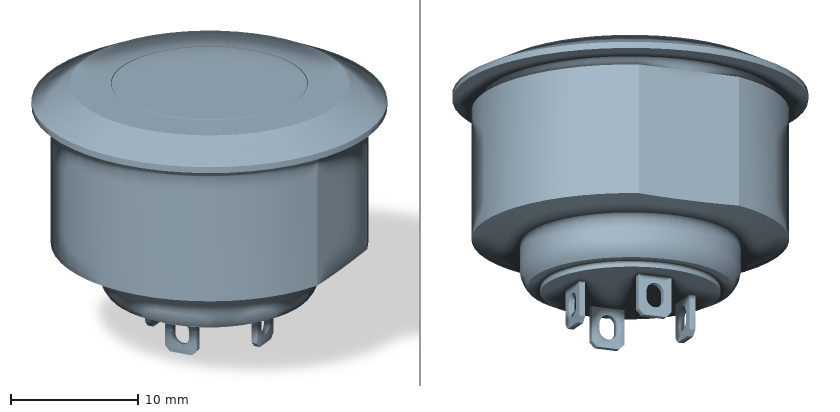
import cadquery as cq
import math

bezel_diameter = 28.0
bezel_top_diameter = 22.0
bezel_rim_top_z = -1.48
bezel_bottom_z = -2.0

button_diameter = 15.5
button_edge_radius = 0.15

neck_diameter = 23.5
body_diameter = 25.0
across_flats = neck_diameter
body_top_z = -2.88
body_bottom_z = -13.47

housing_diameter = 17.4
housing_top_z = -13.9
housing_round_z = -15.9
housing_bottom_z = -17.4
housing_round_inset = 0.6
base_diameter = 14.2
base_bottom_z = -17.85

terminal_count = 4
terminal_bottom_z = -21.15
terminal_width = 2.8
terminal_thickness = 0.5
terminal_offset = 4.7
terminal_chamfer = 0.45
eyelet_width = 1.45
eyelet_height = 2.0
eyelet_center_z = -19.43


def make_turned_body():
    """Revolve the bezel, neck, body, housing and base as one profile."""
    housing_radius = housing_diameter / 2
    round_height = housing_round_z - housing_bottom_z
    round_radius = (round_height**2 + housing_round_inset**2) / (2 * housing_round_inset)
    half_sweep = math.asin(round_height / round_radius) / 2
    round_middle = (
        housing_radius - round_radius * (1 - math.cos(half_sweep)),
        housing_round_z - round_radius * math.sin(half_sweep),
    )
    round_end = (housing_radius - housing_round_inset, housing_bottom_z)
    profile = (
        cq.Workplane("XZ")
        .moveTo(0, 0)
        .lineTo(bezel_top_diameter / 2, 0)
        .lineTo(bezel_diameter / 2, bezel_rim_top_z)
        .lineTo(bezel_diameter / 2, bezel_bottom_z)
        .lineTo(neck_diameter / 2, bezel_bottom_z)
        .lineTo(neck_diameter / 2, body_top_z)
        .lineTo(body_diameter / 2, body_top_z)
        .lineTo(body_diameter / 2, body_bottom_z)
        .lineTo(housing_radius, housing_top_z)
        .lineTo(housing_radius, housing_round_z)
        .threePointArc(round_middle, round_end)
        .lineTo(base_diameter / 2, housing_bottom_z)
        .lineTo(base_diameter / 2, base_bottom_z)
        .lineTo(0, base_bottom_z)
        .close()
    )
    return profile.revolve(360, (0, 0, 0), (0, 1, 0))


def make_flats_cut():
    """Material outside the two flats, over the height of the main body."""
    height = body_top_z - housing_top_z
    blank = cq.Workplane("XY").workplane(offset=housing_top_z)
    outer = blank.rect(bezel_diameter, bezel_diameter).extrude(height)
    kept = blank.rect(across_flats, bezel_diameter).extrude(height)
    return outer.cut(kept)


def make_button_groove():
    """Ring groove between the bezel wall and the rounded button edge."""
    button_radius = button_diameter / 2
    edge_middle_inset = button_edge_radius * (1 - math.sqrt(0.5))
    profile = (
        cq.Workplane("XZ")
        .moveTo(button_radius, 0)
        .lineTo(button_radius, -button_edge_radius)
        .threePointArc(
            (button_radius - edge_middle_inset, -edge_middle_inset),
            (button_radius - button_edge_radius, 0),
        )
        .close()
    )
    return profile.revolve(360, (0, 0, 0), (0, 1, 0))


def make_terminal():
    """Flat tab on the -Y side with an oblong eyelet and chamfered lower corners."""
    height = base_bottom_z - terminal_bottom_z
    return (
        cq.Workplane("XY")
        .box(terminal_width, terminal_thickness, height, centered=(True, True, False))
        .translate((0, -terminal_offset, terminal_bottom_z))
        .edges("|Y and <Z")
        .chamfer(terminal_chamfer)
        .cut(make_eyelet())
    )


def make_eyelet():
    """Oblong hole, long side along Z, through the tab thickness."""
    return (
        cq.Workplane("XZ", origin=(0, -terminal_offset, eyelet_center_z))
        .slot2D(eyelet_height, eyelet_width, 90)
        .extrude(terminal_thickness, both=True)
    )


result = make_turned_body().cut(make_flats_cut()).cut(make_button_groove())
terminal = make_terminal()
for index in range(terminal_count):
    angle = index * 360 / terminal_count
    result = result.union(terminal.rotate((0, 0, 0), (0, 0, 1), angle))